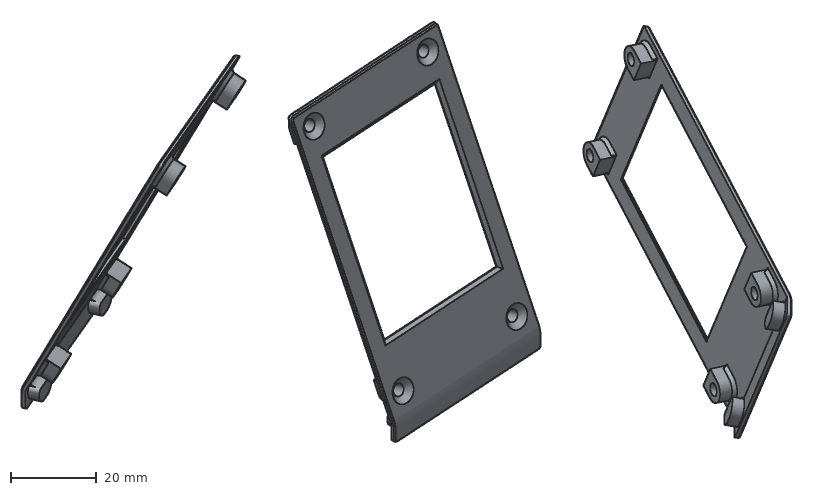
import cadquery as cq
import math

WIDTH = 47.6
HEIGHT = 79.9
THICKNESS = 1.2
LEAN = math.radians(25)
BEND_HEIGHT = 5.75
BEND_RADIUS = 5.6
PANEL_DEPTH = 35.6
CORNER_RADIUS = 1.0
EDGE_CHAMFER = 0.3

WINDOW_WIDTH = 36.4
WINDOW_BOTTOM = 19.7
WINDOW_TOP = 68.5
WINDOW_CHAMFER = 0.9

LOWER_SCREW = 6.5
UPPER_SCREW = 76.9
SCREW_SPACING = 36.9
SCREW_HOLE = 3.1
COUNTERSINK = 6.4
BOSS_RADIUS = 3.2
BOSS_FLAT_OFFSET = 3.75
BOSS_DEPTH = 5.4
FLARE = 0.55
FLARE_HEIGHT = 1.0

PAD_BOTTOM = 0.95
PAD_TOP = 5.4
PAD_WIDTH = 7.7
PAD_REACH = 4.1
PAD_LOWER_RADIUS = 2.95
PAD_UPPER_RADIUS = 0.95
GUSSET = 1.4

sin_lean = math.sin(LEAN)
cos_lean = math.cos(LEAN)
tan_lean = math.tan(LEAN)

panel = cq.Plane(
    origin=(0, 0, BEND_HEIGHT),
    xDir=(sin_lean, 0, cos_lean),
    normal=(cos_lean, 0, -sin_lean),
)


def make_sheet():
    inner_bend = BEND_HEIGHT - THICKNESS * math.tan(LEAN / 2)
    profile = [
        (0, 0),
        (0, BEND_HEIGHT),
        ((HEIGHT - BEND_HEIGHT) * tan_lean, HEIGHT),
        (PANEL_DEPTH, HEIGHT),
        (PANEL_DEPTH, inner_bend + (PANEL_DEPTH - THICKNESS) / tan_lean),
        (THICKNESS, inner_bend),
        (THICKNESS, 0),
    ]
    sheet = cq.Workplane("XZ").polyline(profile).close().extrude(WIDTH / 2, both=True)
    bend_edge = cq.selectors.NearestToPointSelector((0, 0, BEND_HEIGHT))
    sheet = sheet.edges(bend_edge).fillet(BEND_RADIUS)
    outline = (
        cq.Workplane("YZ")
        .center(0, HEIGHT / 2)
        .rect(WIDTH, HEIGHT)
        .extrude(PANEL_DEPTH)
        .edges("|X")
        .fillet(CORNER_RADIUS)
    )
    return sheet.intersect(outline)


def chamfer_outer_rim(sheet):
    outer_faces = [f for f in sheet.faces().vals() if f.normalAt().x < -0.5]
    edges = [e for f in outer_faces for e in f.Edges()]
    rim = [e for e in edges if sum(e.isSame(other) for other in edges) == 1]
    return sheet.newObject(rim).chamfer(EDGE_CHAMFER)


def make_window():
    length = WINDOW_TOP - WINDOW_BOTTOM
    middle = (WINDOW_TOP + WINDOW_BOTTOM) / 2
    opening = cq.Workplane(panel).center(middle, 0).rect(length, WINDOW_WIDTH).extrude(THICKNESS * 2)
    bevel = (
        cq.Workplane(panel)
        .center(middle, 0)
        .rect(length + 2 * WINDOW_CHAMFER, WINDOW_WIDTH + 2 * WINDOW_CHAMFER)
        .extrude(WINDOW_CHAMFER, taper=45)
    )
    return opening.union(bevel)


def boss_outline(x, y, flat_side, depth, radius):
    """U shape: round on one side, squared off on flat_side (+1 up the panel, -1 down)."""
    flat = x + flat_side * BOSS_FLAT_OFFSET
    return (
        cq.Workplane(panel)
        .workplane(offset=depth)
        .moveTo(flat, y - radius)
        .lineTo(x, y - radius)
        .threePointArc((x - flat_side * radius, y), (x, y + radius))
        .lineTo(flat, y + radius)
        .close()
    )


def make_boss(x, y, flat_side):
    base = THICKNESS / 2
    post = boss_outline(x, y, flat_side, base, BOSS_RADIUS).extrude(BOSS_DEPTH - base)
    flare_base = boss_outline(x, y, flat_side, THICKNESS, BOSS_RADIUS + FLARE)
    taper = math.degrees(math.atan(FLARE / FLARE_HEIGHT))
    flare = flare_base.extrude(FLARE_HEIGHT, taper=taper)
    return post.union(flare)


def make_screw_hole(x, y):
    sink_depth = (COUNTERSINK - SCREW_HOLE) / 2
    hole = cq.Workplane(panel).center(x, y).circle(SCREW_HOLE / 2).extrude(BOSS_DEPTH)
    sink = cq.Workplane(panel).center(x, y).circle(COUNTERSINK / 2).extrude(sink_depth, taper=45)
    return hole.union(sink)


def make_pad(y):
    height = PAD_TOP - PAD_BOTTOM
    pad = (
        cq.Workplane("YZ", origin=(THICKNESS / 2, y, PAD_BOTTOM + height / 2))
        .rect(PAD_WIDTH, height)
        .extrude(PAD_REACH - THICKNESS / 2)
    )
    pad = pad.edges("|X and <Z").fillet(PAD_LOWER_RADIUS)
    pad = pad.edges("|X and >Z").fillet(PAD_UPPER_RADIUS)
    gusset_width = PAD_WIDTH - 2 * PAD_UPPER_RADIUS
    sag = GUSSET * (1 - math.sqrt(0.5))
    gusset = (
        cq.Workplane("XZ", origin=(0, y, 0))
        .moveTo(THICKNESS / 2, PAD_TOP - GUSSET)
        .lineTo(THICKNESS + GUSSET, PAD_TOP - GUSSET)
        .lineTo(THICKNESS + GUSSET, PAD_TOP)
        .threePointArc((THICKNESS + sag, PAD_TOP + sag), (THICKNESS, PAD_TOP + GUSSET))
        .lineTo(THICKNESS / 2, PAD_TOP)
        .close()
        .extrude(gusset_width / 2, both=True)
    )
    return pad.union(gusset)


result = chamfer_outer_rim(make_sheet()).cut(make_window())
for side in (-1, 1):
    y = side * SCREW_SPACING / 2
    result = result.union(make_pad(y))
    for x, flat_side in ((LOWER_SCREW, 1), (UPPER_SCREW, -1)):
        result = result.union(make_boss(x, y, flat_side)).cut(make_screw_hole(x, y))